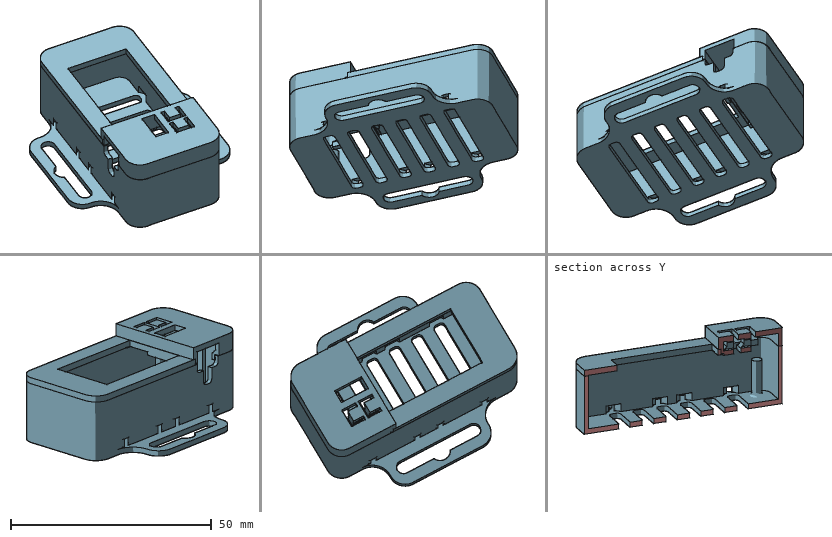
import cadquery as cq

LENGTH = 53.5
WIDTH = 25.75
CASE_TOP = 15.65
LID_TOP = 17.25
COVER_TOP = 20.5
CORNER_R = 4.0
CORNER_BULGE = 0.1
LEFT = -26.8
RIGHT = LEFT + LENGTH
MIDDLE = LEFT + LENGTH / 2

WALL = 1.2
FLOOR = 1.45
INNER_HALF_WIDTH = WIDTH / 2 - WALL

STRAP_SPAN = 44.8
TAB_WIDTH = 28.0
TAB_OUTER_R = CORNER_R
TAB_ROOT_R = 5.0
STRAP_SLOT_LENGTH = 23.55
STRAP_SLOT_WIDTH = 3.55
STRAP_SLOT_Y = 17.7
NOTCH_R = 2.5
NOTCH_Y = 18.45

FLOOR_SLOT_COUNT = 6
FLOOR_SLOT_PITCH = 6.4
FLOOR_SLOT_WIDTH = 3.0
FLOOR_SLOT_LENGTH = 22.3
FLOOR_SLOT_R = 1.0

POCKET_R = 2.25
POCKET_TOP = 3.55
POCKET_BREAKOUT = 0.1
POCKET_Y = WIDTH / 2 + POCKET_BREAKOUT - POCKET_R
POCKET_OFFSETS = (-15.85, -3.25, 3.25, 15.85)

RECESS_DEPTH = 0.55
RECESS_END_Y = -1.65

POST_D = 2.5
POST_FILLET = 0.95
POST_TOP = 11.0
POST_X = 21.7
POST_Y = 8.95

PORT_LEFT = 10.85
CASE_PORT_WIDTH = 7.9
CASE_PORT_BOTTOM = 13.25
PLUG_SLOT_WIDTH = 3.05
PLUG_SLOT_BOTTOM = 9.3
PORT_R = 1.0
COVER_PORT_WIDTH = 8.15

LID_RIGHT = 10.2
WINDOW_LEFT = -17.9
WINDOW_RIGHT = 9.25
WINDOW_WIDTH = 16.3
SKIRT_DEPTH = 0.85
SKIRT_END_Y = 2.25

COVER_LEFT = 9.4
ROOF = 1.5
ROOF_UNDERSIDE = COVER_TOP - ROOF
COVER_GAP = 0.25
LIP_DEPTH = 1.5
LIP_FILL = 1.25

BUTTON_PITCH = 4.65
BUTTON_COUNT = 2
BUTTON_SLOT_LENGTH = 3.9
BUTTON_SLOT_WIDTH = 5.05
BUTTON_Y = 5.65
TONGUE_LENGTH = 2.8
TONGUE_WIDTH = 3.0
DISPLAY_LENGTH = 7.65
DISPLAY_WIDTH = 3.55
DISPLAY_Y = -0.45

PUSHER_LEFT = 0.95
PUSHER_BOTTOM = 15.35
TOE_SLOPE_TOP = 17.55
TOE_SLOPE_BOTTOM = TOE_SLOPE_TOP - PUSHER_LEFT
WAIST_DEPTH = 0.45
WAIST_BOTTOM = 16.45


def block(x0, x1, y0, y1, z0, z1):
    """Box between two opposite corners."""
    return cq.Workplane("XY").box(x1 - x0, y1 - y0, z1 - z0, centered=False).translate((x0, y0, z0))


def rounded_plate(inset, z0, z1):
    """Case footprint, moved in by inset, between two heights."""
    plate = cq.Workplane("XY", origin=(MIDDLE, 0, z0)).rect(LENGTH - 2 * inset, WIDTH - 2 * inset)
    return plate.extrude(z1 - z0).edges("|Z").fillet(CORNER_R - inset)


def strap_tabs():
    """Both strap tabs as one plate through the case, with root fillets."""
    half = TAB_WIDTH / 2
    tabs = cq.Workplane("XY", origin=(MIDDLE, 0, 0)).rect(TAB_WIDTH, STRAP_SPAN).extrude(FLOOR)
    tabs = tabs.edges("|Z").fillet(TAB_OUTER_R)
    for side in (1, -1):
        root = side * WIDTH / 2
        outer = root + side * TAB_ROOT_R
        for end in (1, -1):
            corner_x = end * half
            toe_x = end * (half + TAB_ROOT_R)
            web = (
                cq.Workplane("XY", origin=(MIDDLE, 0, 0))
                .moveTo(corner_x, root)
                .lineTo(toe_x, root)
                .radiusArc((corner_x, outer), TAB_ROOT_R * side * end)
                .close()
                .extrude(FLOOR)
            )
            tabs = tabs.union(web)
    return tabs


def strap_slots():
    """Strap slots with a round notch on the outer edge."""
    cutters = cq.Workplane("XY")
    for side in (1, -1):
        slot = cq.Workplane("XY", origin=(MIDDLE, side * STRAP_SLOT_Y, 0))
        cutters = cutters.union(slot.slot2D(STRAP_SLOT_LENGTH, STRAP_SLOT_WIDTH).extrude(FLOOR))
        notch = cq.Workplane("XY", origin=(MIDDLE, side * NOTCH_Y, 0))
        cutters = cutters.union(notch.circle(NOTCH_R).extrude(FLOOR))
    return cutters


def floor_slots():
    slots = cq.Workplane("XY").rarray(FLOOR_SLOT_PITCH, 0.55, FLOOR_SLOT_COUNT, 1)
    return slots.rect(FLOOR_SLOT_WIDTH, FLOOR_SLOT_LENGTH).extrude(FLOOR).edges("|Z").fillet(FLOOR_SLOT_R)


def wall_pockets():
    centres = [(x, side * POCKET_Y) for x in POCKET_OFFSETS for side in (1, -1)]
    pockets = cq.Workplane("XY", origin=(0, 0, FLOOR)).pushPoints(centres)
    return pockets.circle(POCKET_R).extrude(POCKET_TOP - FLOOR)


def post(y):
    """Round post on the floor with a concave foot."""
    shaft_r = POST_D / 2
    foot_r = shaft_r + POST_FILLET
    return (
        cq.Workplane("XZ", origin=(POST_X, y, FLOOR))
        .lineTo(foot_r, 0)
        .radiusArc((shaft_r, POST_FILLET), POST_FILLET)
        .lineTo(shaft_r, POST_TOP - FLOOR)
        .lineTo(0, POST_TOP - FLOOR)
        .close()
        .revolve(360, (0, 0), (0, 1))
    )


def case_port():
    """Stepped opening in the -Y wall, open at the top of the case."""
    front = -WIDTH / 2
    back = front + WALL
    port = block(PORT_LEFT, PORT_LEFT + CASE_PORT_WIDTH, front, back, CASE_PORT_BOTTOM, CASE_TOP)
    port = port.edges("|Y and <Z").fillet(PORT_R)
    slot_left = PORT_LEFT + (CASE_PORT_WIDTH - PLUG_SLOT_WIDTH) / 2
    slot = block(slot_left, slot_left + PLUG_SLOT_WIDTH, front, back, PLUG_SLOT_BOTTOM, CASE_TOP)
    return port.union(slot.edges("|Y and <Z").fillet(PORT_R))


def end_wall_recess():
    """Thins the +X wall from near its middle to the corner on the -Y side."""
    inner_x = RIGHT - WALL
    outer_x = inner_x + RECESS_DEPTH
    corner_y = CORNER_R - WIDTH / 2
    outline = [
        (inner_x, RECESS_END_Y),
        (outer_x, RECESS_END_Y - RECESS_DEPTH),
        (outer_x, corner_y),
        (inner_x, corner_y),
    ]
    recess = cq.Workplane("XY", origin=(0, 0, FLOOR)).polyline(outline).close()
    return recess.extrude(CASE_TOP - FLOOR)


def make_case():
    bulge_x = RIGHT + CORNER_BULGE - CORNER_R
    bulge_y = CORNER_R - WIDTH / 2
    bulge = cq.Workplane("XY").center(bulge_x, bulge_y).circle(CORNER_R).extrude(CASE_TOP)
    case = rounded_plate(0, 0, CASE_TOP).union(bulge).union(strap_tabs())
    case = case.cut(rounded_plate(WALL, FLOOR, CASE_TOP))
    case = case.cut(strap_slots()).cut(floor_slots()).cut(wall_pockets())
    case = case.cut(case_port()).cut(end_wall_recess())
    for side in (1, -1):
        case = case.union(post(side * POST_Y))
    return case


def make_lid():
    half_window = WINDOW_WIDTH / 2
    lid = rounded_plate(0, CASE_TOP, LID_TOP)
    lid = lid.intersect(block(LEFT, LID_RIGHT, -WIDTH, WIDTH, CASE_TOP, LID_TOP))
    lid = lid.cut(block(WINDOW_LEFT, WINDOW_RIGHT, -half_window, half_window, CASE_TOP, LID_TOP))
    skirt = block(WINDOW_RIGHT, LID_RIGHT, -half_window, SKIRT_END_Y, CASE_TOP - SKIRT_DEPTH, CASE_TOP)
    return lid.union(skirt)


def cover_shell():
    """Hollow cover that steps over the right end of the lid."""
    shell = rounded_plate(0, CASE_TOP, COVER_TOP)
    shell = shell.cut(block(LEFT, COVER_LEFT, -WIDTH, WIDTH, CASE_TOP, COVER_TOP))
    shell = shell.cut(block(COVER_LEFT, LID_RIGHT, -WIDTH, WIDTH, CASE_TOP, LID_TOP))
    shell = shell.cut(block(LID_RIGHT, PORT_LEFT, -WIDTH, WIDTH, CASE_TOP, CASE_TOP + COVER_GAP))
    cavity = rounded_plate(WALL, CASE_TOP, ROOF_UNDERSIDE)
    return shell.cut(cavity.intersect(block(PORT_LEFT, RIGHT, -WIDTH, WIDTH, CASE_TOP, COVER_TOP)))


def locating_lip(side, start_x):
    """Lip inside one long wall, from start_x on, blended into the cover wall above."""
    wall_y = side * INNER_HALF_WIDTH
    inner_y = wall_y - side * WALL
    profile = [
        (wall_y, CASE_TOP - LIP_DEPTH),
        (inner_y, CASE_TOP - LIP_DEPTH),
        (inner_y, CASE_TOP),
        (wall_y, CASE_TOP + LIP_FILL),
    ]
    length = RIGHT - CORNER_R - start_x
    return cq.Workplane("YZ", origin=(start_x, 0, 0)).polyline(profile).close().extrude(length)


def pusher(root_x):
    """Finger under a button tongue, with a sloped toe and a narrowed waist."""
    end_x = root_x + TONGUE_LENGTH
    stem_x = root_x + PUSHER_LEFT
    half = TONGUE_WIDTH / 2
    outline = [
        (stem_x, ROOF_UNDERSIDE),
        (end_x, ROOF_UNDERSIDE),
        (end_x, PUSHER_BOTTOM),
        (root_x, PUSHER_BOTTOM),
        (root_x, TOE_SLOPE_BOTTOM),
        (stem_x, TOE_SLOPE_TOP),
    ]
    finger = cq.Workplane("XZ", origin=(0, BUTTON_Y + half, 0)).polyline(outline).close()
    finger = finger.extrude(TONGUE_WIDTH)
    for side in (1, -1):
        face_y = BUTTON_Y + side * half
        waist_y = face_y - side * WAIST_DEPTH
        groove = [
            (face_y, ROOF_UNDERSIDE),
            (waist_y, ROOF_UNDERSIDE - WAIST_DEPTH),
            (waist_y, WAIST_BOTTOM + WAIST_DEPTH),
            (face_y, WAIST_BOTTOM),
        ]
        cutter = cq.Workplane("YZ", origin=(root_x, 0, 0)).polyline(groove).close().extrude(TONGUE_LENGTH)
        finger = finger.cut(cutter)
    return finger


def button_slot(root_x):
    """C-shaped slot that frees a tongue from the roof."""
    half_slot = BUTTON_SLOT_WIDTH / 2
    half_tongue = TONGUE_WIDTH / 2
    slot = block(
        root_x, root_x + BUTTON_SLOT_LENGTH,
        BUTTON_Y - half_slot, BUTTON_Y + half_slot,
        ROOF_UNDERSIDE, COVER_TOP,
    )
    tongue = block(
        root_x, root_x + TONGUE_LENGTH,
        BUTTON_Y - half_tongue, BUTTON_Y + half_tongue,
        ROOF_UNDERSIDE, COVER_TOP,
    )
    return slot.cut(tongue)


def make_cover():
    cover = cover_shell()
    cover = cover.union(locating_lip(1, PORT_LEFT))
    cover = cover.union(locating_lip(-1, PORT_LEFT + COVER_PORT_WIDTH))
    for index in range(BUTTON_COUNT):
        root_x = PORT_LEFT + index * BUTTON_PITCH
        cover = cover.cut(button_slot(root_x)).union(pusher(root_x))
    display = block(
        PORT_LEFT, PORT_LEFT + DISPLAY_LENGTH,
        DISPLAY_Y - DISPLAY_WIDTH / 2, DISPLAY_Y + DISPLAY_WIDTH / 2,
        ROOF_UNDERSIDE, COVER_TOP,
    )
    front = -WIDTH / 2
    port = block(PORT_LEFT, PORT_LEFT + COVER_PORT_WIDTH, front, front + WALL, CASE_TOP, ROOF_UNDERSIDE)
    return cover.cut(display).cut(port)


case = make_case()
lid = make_lid()
cover = make_cover()

result = cq.Compound.makeCompound([case.val(), lid.val(), cover.val()])